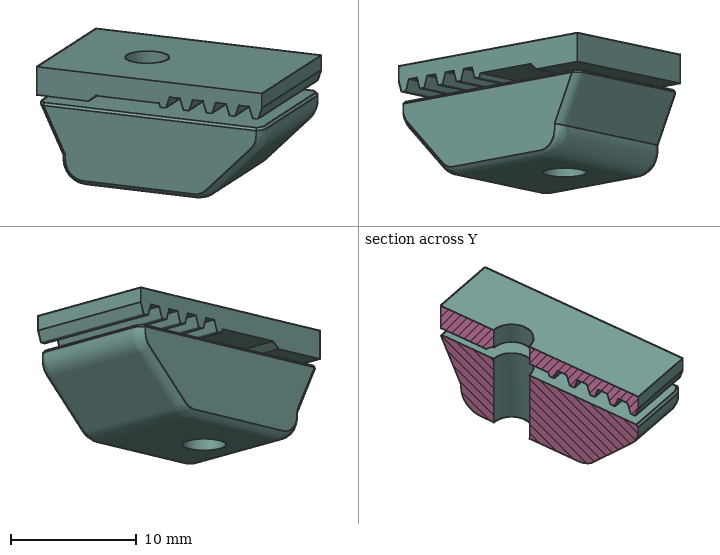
import cadquery as cq
import math

LENGTH = 19.5
WIDTH = 12.0
HEIGHT = 9.5

HOLE_DIAMETER = 3.5
HOLE_X = 7.0

PLATE_DEPTH = 2.34
RECESS_DEPTH = 1.81
TOOTH_ROOT_DEPTH = 1.2
TOOTH_TIP_DEPTH = 2.15
PAD_END_X = 4.48
RECESS_START_X = 5.13

TOOTH_COUNT = 5
TOOTH_ROW_LENGTH = 8.0
TOOTH_PITCH = TOOTH_ROW_LENGTH / (TOOTH_COUNT - 1)
TOOTH_ROOT_WIDTH = 1.11
TOOTH_FLANK_ANGLE = 18.5
TOOTH_TIP_RADIUS = 0.1

GAP = 0.6
CORNER_RADIUS = 2.0
HEEL_X = 1.99
HEEL_TOP_DEPTH = 7.15
FLOOR_END_X = 13.61
LEFT_SLOPE_ANGLE = 26.0
RIGHT_SLOPE_ANGLE = 45.0
SIDE_CHAMFER = 0.5
SIDE_ROUND = 1.0
TOP_CHAMFER = 0.2

TOLERANCE = 0.0002

WEDGE_TOP_Z = -(PLATE_DEPTH + GAP)


def screw_hole():
    """Cylinder that drills the screw hole down through both bodies."""
    return (
        cq.Workplane("XY")
        .center(HOLE_X, 0)
        .circle(HOLE_DIAMETER / 2)
        .extrude(-HEIGHT)
    )


def make_tooth(center_x):
    """One tapered tooth across the full width, rounded at the tip."""
    tooth_height = TOOTH_TIP_DEPTH - TOOTH_ROOT_DEPTH
    root_half = TOOTH_ROOT_WIDTH / 2
    tip_half = root_half - tooth_height * math.tan(math.radians(TOOTH_FLANK_ANGLE))
    return (
        cq.Workplane("XZ")
        .moveTo(center_x - root_half, -TOOTH_ROOT_DEPTH)
        .lineTo(center_x - tip_half, -TOOTH_TIP_DEPTH)
        .lineTo(center_x + tip_half, -TOOTH_TIP_DEPTH)
        .lineTo(center_x + root_half, -TOOTH_ROOT_DEPTH)
        .close()
        .extrude(WIDTH / 2, both=True)
        .edges("|Y and <Z")
        .fillet(TOOTH_TIP_RADIUS)
    )


def make_toothed_plate():
    """Plate with a deep pad on the left, a shallow recess, and a row of teeth."""
    first_tooth_x = LENGTH - TOOTH_ROOT_WIDTH / 2 - TOOTH_ROW_LENGTH
    plate = (
        cq.Workplane("XZ")
        .lineTo(0, -PLATE_DEPTH)
        .lineTo(PAD_END_X, -PLATE_DEPTH)
        .lineTo(RECESS_START_X, -RECESS_DEPTH)
        .lineTo(first_tooth_x, -RECESS_DEPTH)
        .lineTo(first_tooth_x, -TOOTH_ROOT_DEPTH)
        .lineTo(LENGTH, -TOOTH_ROOT_DEPTH)
        .lineTo(LENGTH, 0)
        .close()
        .extrude(WIDTH / 2, both=True)
    )
    for index in range(TOOTH_COUNT):
        plate = plate.union(make_tooth(first_tooth_x + index * TOOTH_PITCH))
    return plate.cut(screw_hole())


def wedge_blank():
    """Wedge outline across the full width, with its three round corners."""
    left_run = (HEEL_TOP_DEPTH + WEDGE_TOP_Z) * math.tan(math.radians(LEFT_SLOPE_ANGLE))
    right_slope = math.radians(RIGHT_SLOPE_ANGLE)
    floor_corner_x = FLOOR_END_X + CORNER_RADIUS * math.tan(right_slope / 2)
    nose_corner_z = -HEIGHT + (LENGTH - floor_corner_x) * math.tan(right_slope)
    nose_corner = cq.selectors.NearestToPointSelector((LENGTH, 0, nose_corner_z))
    return (
        cq.Workplane("XZ")
        .moveTo(HEEL_X - left_run, WEDGE_TOP_Z)
        .lineTo(HEEL_X, -HEEL_TOP_DEPTH)
        .lineTo(HEEL_X, -HEIGHT)
        .lineTo(floor_corner_x, -HEIGHT)
        .lineTo(LENGTH, nose_corner_z)
        .lineTo(LENGTH, WEDGE_TOP_Z)
        .close()
        .extrude(WIDTH / 2, both=True)
        .edges("|Y and <Z")
        .fillet(CORNER_RADIUS)
        .edges(nose_corner)
        .fillet(CORNER_RADIUS)
    )


def blend_sides(wedge):
    """Chamfer both side outlines below the top, then round each chamfer into the outer walls."""
    chamfered = wedge.faces("<Y or >Y").edges("not(>Z)").chamfer(SIDE_CHAMFER)
    inner_y = WIDTH / 2 - SIDE_CHAMFER
    inner_edges = [
        edge
        for edge in chamfered.edges().vals()
        if math.isclose(abs(edge.Center().y), inner_y, abs_tol=TOLERANCE)
    ]
    return chamfered.newObject(inner_edges).fillet(SIDE_ROUND)


def make_wedge():
    """Wedge with blended sides, a chamfered top rim and the screw hole."""
    wedge = blend_sides(wedge_blank())
    wedge = wedge.faces(">Z").edges().chamfer(TOP_CHAMFER)
    return wedge.cut(screw_hole())


toothed_plate = make_toothed_plate()
wedge = make_wedge()

result = cq.Compound.makeCompound([toothed_plate.val(), wedge.val()])